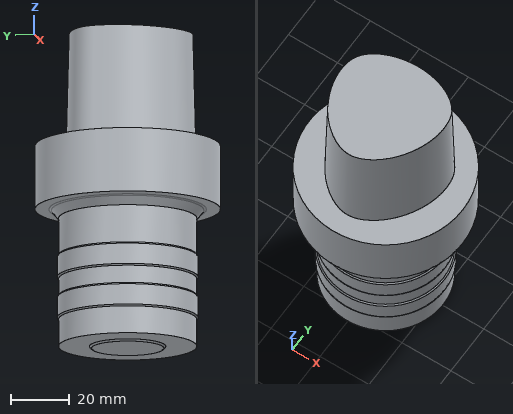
import cadquery as cq
import math

total_height = 108.0
pad_height = 0.6
flange_bottom = 48.1
flange_top = 70.0

flange_radius = 63.0 / 2
shank_radius = 47.0 / 2
pad_top_radius = 13.0
pad_bottom_radius = 12.3

flare_height = 3.1
flare_width = 2.7
flare_fillet = 1.1

band_radius = 48.0 / 2
band_height = 8.1
band_bevel = 0.5
lower_band_bottom = 9.9
band_pitch = 14.0
band_count = 2

polygon_base_radius = 22.0
polygon_top_radius = 21.1
lobe_height = 1.4


def revolve(profile):
    """Revolve an XZ half profile around the Z axis."""
    return profile.close().revolve(360, (0, 0, 0), (0, 1, 0))


def make_body():
    """Pad, shank, flare and flange in one turned profile."""
    flare_bottom = flange_bottom - flare_height
    flare_top_radius = shank_radius + flare_width
    flare_angle = math.atan2(flare_height, flare_width)
    tangent_length = flare_fillet * math.tan(flare_angle / 2)
    fillet_start = (
        flare_top_radius - tangent_length * math.cos(flare_angle),
        flange_bottom - tangent_length * math.sin(flare_angle),
    )
    fillet_end = (flare_top_radius + tangent_length, flange_bottom)
    return revolve(
        cq.Workplane("XZ")
        .moveTo(0, 0)
        .lineTo(pad_bottom_radius, 0)
        .lineTo(pad_top_radius, pad_height)
        .lineTo(shank_radius, pad_height)
        .lineTo(shank_radius, flare_bottom)
        .lineTo(*fillet_start)
        .tangentArcPoint(fillet_end, relative=False)
        .lineTo(flange_radius, flange_bottom)
        .lineTo(flange_radius, flange_top)
        .lineTo(0, flange_top)
    )


def make_band(bottom):
    """Raised band whose edges slope down to the shank."""
    top = bottom + band_height
    return revolve(
        cq.Workplane("XZ")
        .moveTo(0, bottom)
        .lineTo(shank_radius, bottom)
        .lineTo(band_radius, bottom + band_bevel)
        .lineTo(band_radius, top - band_bevel)
        .lineTo(shank_radius, top)
        .lineTo(0, top)
    )


def lobed_point(mean_radius, turn):
    """Point on the constant-width trilobe; turn runs from 0 to 1, starting at -Y."""
    angle = 2 * math.pi * turn
    along = mean_radius * math.cos(angle) + lobe_height * (2 * math.cos(2 * angle) - math.cos(4 * angle))
    across = mean_radius * math.sin(angle) - lobe_height * (2 * math.sin(2 * angle) + math.sin(4 * angle))
    return (across, -along)


def make_polygon_shank():
    """Loft between the larger outline on the flange and the smaller one at the top."""
    return (
        cq.Workplane("XY", origin=(0, 0, flange_top))
        .parametricCurve(lambda turn: lobed_point(polygon_base_radius, turn))
        .workplane(offset=total_height - flange_top)
        .parametricCurve(lambda turn: lobed_point(polygon_top_radius, turn))
        .loft(ruled=True, combine=True)
    )


result = make_body()
for index in range(band_count):
    result = result.union(make_band(lower_band_bottom + index * band_pitch))
result = result.union(make_polygon_shank())